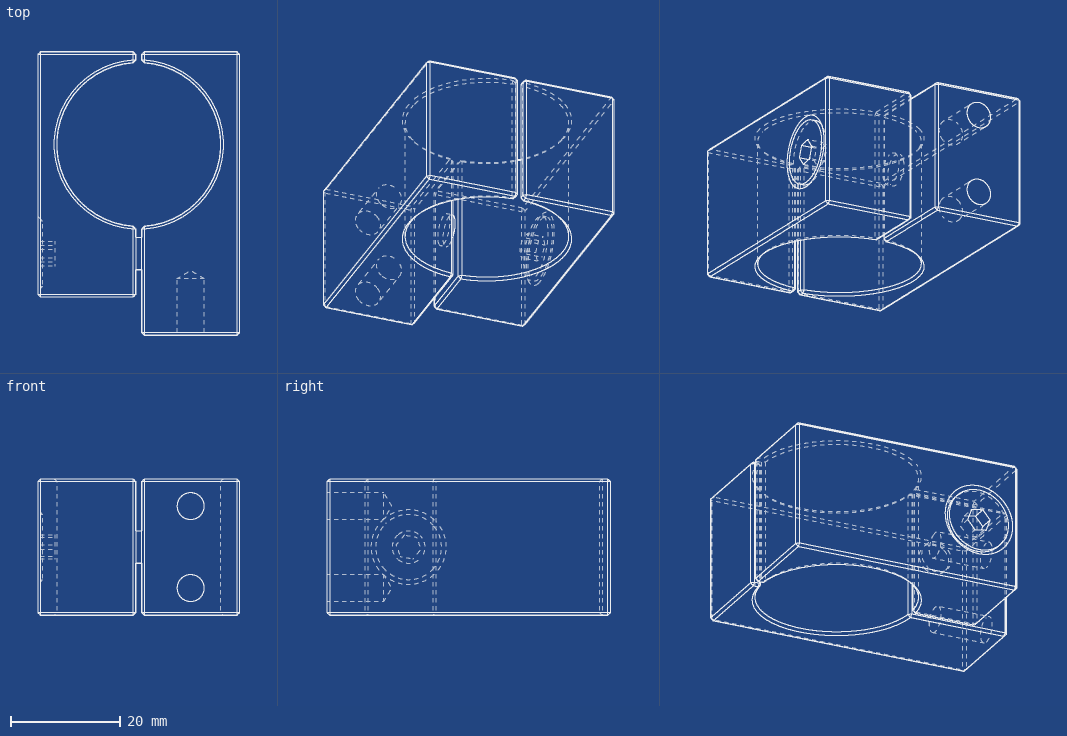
import cadquery as cq
import math

overall_width = 37.0
right_length = 52.0
left_length = 45.0
height = 25.0
gap = 1.05
half_width = (overall_width - gap) / 2
edge_chamfer = 0.5

bore_diameter = 30.0
bore_to_back = 17.0

screw_to_back = 37.0
shank_diameter = 6.0
head_diameter = 12.0
countersink_diameter = 13.75
countersink_depth = (countersink_diameter - head_diameter) / 2
socket_flats = 4.0
socket_depth = 3.1
socket_turn = 10.0

hole_diameter = 4.95
hole_spacing = 15.05
hole_depth = 10.4
drill_tip_angle = 118.0

left_face = -overall_width / 2
bore_y = right_length - bore_to_back
screw_y = right_length - screw_to_back


def clamp_half(side, length):
    """Block on one side of the gap (-1 left, +1 right), bored, with all edges chamfered."""
    center_x = side * (gap + half_width) / 2
    center_y = right_length - length / 2
    block = cq.Workplane("XY").box(half_width, length, height).translate((center_x, center_y, 0))
    bore = cq.Workplane("XY").center(0, bore_y).circle(bore_diameter / 2).extrude(height, both=True)
    return block.cut(bore).edges().chamfer(edge_chamfer)


def screw_plane(x):
    """Plane across the screw axis, facing +X."""
    return cq.Workplane("YZ", origin=(x, screw_y, 0))


def head_recess():
    """Ring-shaped recess with a conical outer wall, around the flush screw head."""
    cone = (
        screw_plane(left_face)
        .circle(countersink_diameter / 2)
        .workplane(offset=countersink_depth)
        .circle(head_diameter / 2)
        .loft()
    )
    head = screw_plane(left_face).circle(head_diameter / 2).extrude(countersink_depth)
    return cone.cut(head)


def hex_socket():
    """Hexagonal drive socket in the screw head."""
    corner_diameter = socket_flats / math.cos(math.pi / 6)
    return (
        screw_plane(left_face)
        .transformed(rotate=(0, 0, -socket_turn))
        .polygon(6, corner_diameter)
        .extrude(socket_depth)
    )


def mounting_hole(z):
    """Drilled hole with a conical bottom, running along +Y."""
    radius = hole_diameter / 2
    tip_length = radius / math.tan(math.radians(drill_tip_angle / 2))
    profile = [(0, 0), (radius, 0), (radius, hole_depth), (0, hole_depth + tip_length)]
    drill = cq.Workplane("XY").polyline(profile).close().revolve(360, (0, 0, 0), (0, 1, 0))
    return drill.translate(((gap + half_width) / 2, 0, z))


shank = screw_plane(-gap).circle(shank_diameter / 2).extrude(2 * gap)
result = clamp_half(-1, left_length).union(clamp_half(1, right_length)).union(shank)
result = result.cut(head_recess()).cut(hex_socket())
for hole_z in (-hole_spacing / 2, hole_spacing / 2):
    result = result.cut(mounting_hole(hole_z))